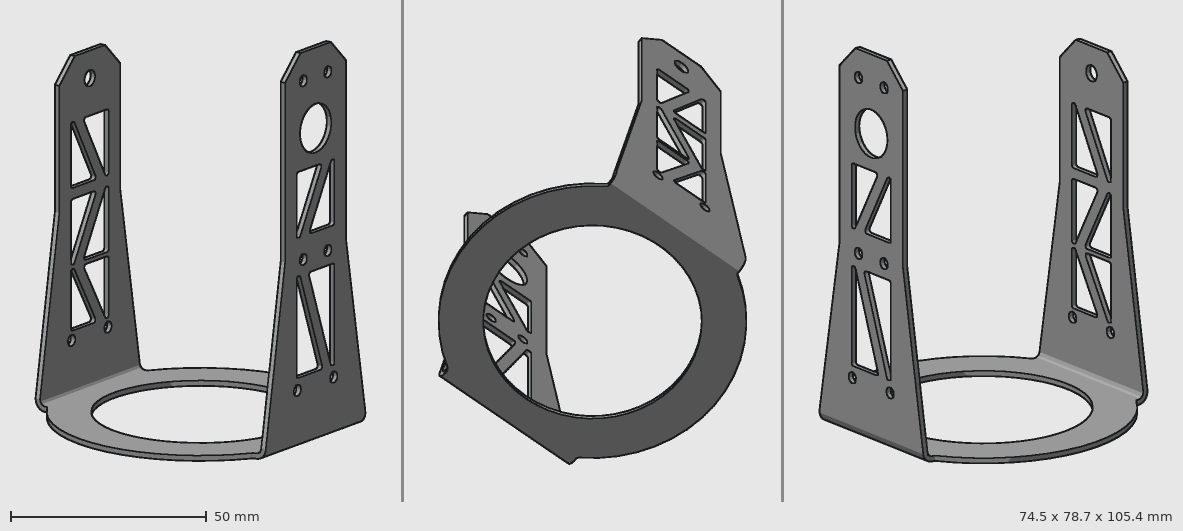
import cadquery as cq
import math

overall_width = 74.5
sheet = 1.5
bend_inner_radius = 1.7
bend_outer_radius = bend_inner_radius + sheet

ring_diameter = 78.7
ring_bore = 55.9
strip_corner_fillet = 1.0

short_wall_height = 91.3
tall_wall_height = 105.4
wall_base_width = 41.6
wall_top_width = 25.5
taper_end_height = 51.0
corner_cut = 6.4

screw_hole_diameter = 3.0
foot_hole_height = 15.7
foot_hole_spacing = 15.2
pivot_hole_diameter = 4.3
motor_hole_diameter = 13.0
pivot_height = 83.9
mount_hole_spacing = 10.2
upper_mount_height = 97.7
lower_mount_height = 50.1

window_width = 15.7
window_fillet = 0.7
strut_width = 3.3
strut_end_offset = 4.7
upper_window = (56.3, 73.9)
middle_window = (35.8, 53.3)
lower_window = (18.2, 34.7)
tall_lower_window = (19.0, 46.1)

half_width = overall_width / 2
bend_line_x = half_width - bend_outer_radius


def wall_blank(height):
    """Tapered wall with cut top corners, standing on the bend, at x = 0 to sheet."""
    half_base = wall_base_width / 2
    half_top = wall_top_width / 2
    right_side = [
        (half_base, bend_outer_radius),
        (half_top, taper_end_height),
        (half_top, height - corner_cut),
        (half_top - corner_cut, height),
    ]
    left_side = [(-y, z) for y, z in reversed(right_side)]
    return cq.Workplane("YZ").polyline(right_side + left_side).close().extrude(sheet)


def holes(diameter, height, spacing=0.0):
    """One centred hole cutter, or a pair when a spacing is given."""
    offsets = {-spacing / 2, spacing / 2}
    points = [(y, height) for y in offsets]
    return cq.Workplane("YZ").pushPoints(points).circle(diameter / 2).extrude(sheet)


def truss_window(heights, lean):
    """Two openings separated by a diagonal strut whose top leans to +Y (lean = 1) or -Y (lean = -1)."""
    bottom, top = heights
    half_window = window_width / 2
    middle = (bottom + top) / 2
    strut_angle = math.atan2(top - bottom, 2 * strut_end_offset)
    strut_half_span = strut_width / 2 / math.sin(strut_angle)
    opening_points = [
        (lean * half_window, bottom),
        (lean * half_window, top),
        (lean * (strut_end_offset + strut_half_span), top),
        (lean * (strut_half_span - strut_end_offset), bottom),
    ]
    opening = (
        cq.Workplane("YZ").polyline(opening_points).close().extrude(sheet)
        .edges("|X").fillet(window_fillet)
    )
    opposite = opening.rotate((0, 0, middle), (1, 0, middle), 180)
    return opening.add(opposite).combine()


def short_wall():
    wall = wall_blank(short_wall_height)
    wall = wall.cut(holes(pivot_hole_diameter, pivot_height))
    wall = wall.cut(holes(screw_hole_diameter, foot_hole_height, foot_hole_spacing))
    for heights, lean in ((upper_window, -1), (middle_window, 1), (lower_window, -1)):
        wall = wall.cut(truss_window(heights, lean))
    return wall.translate((-half_width, 0, 0))


def tall_wall():
    wall = wall_blank(tall_wall_height)
    wall = wall.cut(holes(motor_hole_diameter, pivot_height))
    wall = wall.cut(holes(screw_hole_diameter, foot_hole_height, foot_hole_spacing))
    for height in (upper_mount_height, lower_mount_height):
        wall = wall.cut(holes(screw_hole_diameter, height, mount_hole_spacing))
    for heights, lean in ((upper_window, 1), (tall_lower_window, -1)):
        wall = wall.cut(truss_window(heights, lean))
    return wall.translate((half_width - sheet, 0, 0))


def bend(side):
    """Quarter-round bend joining the base to the wall on side -1 or +1."""
    diagonal = math.sqrt(0.5)
    center_x = side * bend_line_x
    center_z = bend_outer_radius

    def arc_middle(radius):
        return (center_x + side * radius * diagonal, center_z - radius * diagonal)

    return (
        cq.Workplane("XZ")
        .moveTo(center_x, 0)
        .threePointArc(arc_middle(bend_outer_radius), (side * half_width, center_z))
        .lineTo(side * (half_width - sheet), center_z)
        .threePointArc(arc_middle(bend_inner_radius), (center_x, sheet))
        .close()
        .extrude(wall_base_width / 2, both=True)
    )


def base():
    """Flat ring trimmed at the bend lines and joined, with fillets, to a strip reaching both bends."""
    between_bends = cq.Workplane("XY").rect(2 * bend_line_x, ring_diameter).extrude(sheet)
    disc = cq.Workplane("XY").circle(ring_diameter / 2).extrude(sheet).intersect(between_bends)
    strip = cq.Workplane("XY").rect(2 * bend_line_x, wall_base_width).extrude(sheet)
    bore = cq.Workplane("XY").circle(ring_bore / 2).extrude(sheet)
    corner_y = wall_base_width / 2
    corner_x = math.sqrt((ring_diameter / 2) ** 2 - corner_y ** 2)
    plate = disc.union(strip)
    for x in (-corner_x, corner_x):
        for y in (-corner_y, corner_y):
            inner_corner = cq.selectors.NearestToPointSelector((x, y, sheet / 2))
            plate = plate.edges("|Z").edges(inner_corner).fillet(strip_corner_fillet)
    return plate.cut(bore)


result = base()
for side in (-1, 1):
    result = result.union(bend(side))
result = result.union(short_wall()).union(tall_wall())